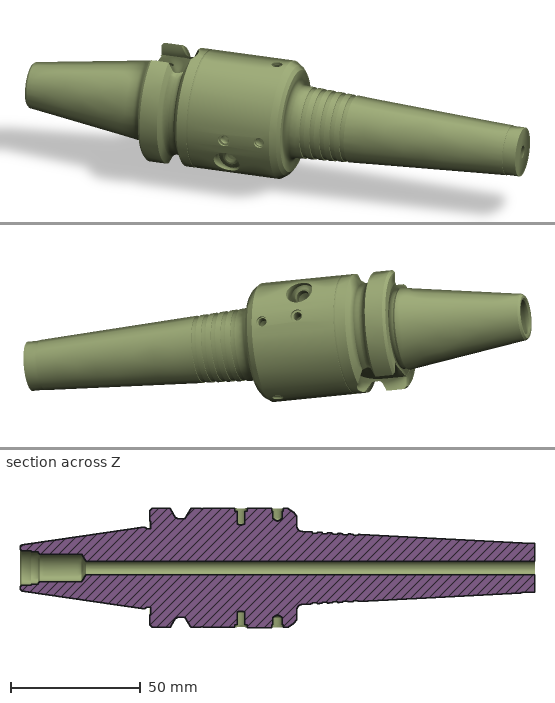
import cadquery as cq
import math


length = 198.4
gauge_x = 48.0
flange_x = 50.0
body_end_x = 106.7
tip_x = 193.2

gauge_r = 15.9
taper_slope = 7 / 48
shank_chamfer = 0.8
shank_chamfer_depth = 0.5
relief_r = 15.3
relief_run = 0.8

body_r = 23.0
mark_groove_start_x = 69.8
mark_groove_end_x = 70.5
mark_groove_depth = 0.2
face_recess_r = 17.9
face_recess_depth = 0.4
flange_chamfer = 1.0
v_start_x = 58.0
v_floor_start_x = 60.1
v_floor_end_x = 63.5
v_end_x = 65.9
v_floor_r = 19.0
v_fillet = 2.0
shoulder_chamfer_x = 103.2
shoulder_bevel_x = 105.5
shoulder_bevel_r = 21.5
shoulder_face_r = 19.8

taper_end_r = 9.7
tip_r = 9.5
nose_angle = 3.0
root_fillet = 2.0
ring_count = 5
ring_width = 1.8
ring_pitch = 4.0
ring_depth = 0.4
first_ring_x = 113.5

through_d = 5.0
mouth_d = 14.7
mouth_depth = 0.5
recess_d = 13.0
recess_depth = 4.4
counterbore_d = 12.3
counterbore_depth = 7.0
thread_d = 12.0
thread_core_d = 10.3
thread_depth = 23.8
drill_half_angle = 59.0

slot_width = 16.0
slot_end_x = 67.3
slot_floor_z = 16.5
slot_hole_x = 55.4

overcut = 2.0

balance_x = 99.2
balance_hole_d = 4.2
balance_core_d = 3.4
slot_hole_d = 4.0
slot_core_d = 2.4
small_hole_depth = 4.0
entry_depth = 1.0
pin_hole_d = 5.0
pin_core_d = 3.4
pin_hole_z = -1.0
pin_hole_depth = 6.0
screw_x = 85.1
screw_z = -12.0
screw_hole_d = 10.3
screw_seat_depth = 10.0
screw_tip_d = 6.3
screw_tip_height = 1.2
socket_d = 5.0
socket_depth = 3.0


def nose_radius(x):
    return taper_end_r + (tip_x - x) * math.tan(math.radians(nose_angle))


def drill_tip(radius):
    return radius / math.tan(math.radians(drill_half_angle))


def turned_body():
    small_end_r = gauge_r - gauge_x * taper_slope
    root_x = body_end_x + root_fillet
    root_r = nose_radius(root_x)
    mark_groove_r = body_r - mark_groove_depth
    recess_x = flange_x + face_recess_depth
    diagonal = root_fillet * (1 - math.sqrt(0.5))
    profile = (
        cq.Workplane("XY")
        .moveTo(0, 0)
        .lineTo(0, small_end_r - shank_chamfer_depth)
        .lineTo(shank_chamfer, small_end_r + shank_chamfer * taper_slope)
        .lineTo(gauge_x, gauge_r)
        .lineTo(gauge_x + relief_run, relief_r)
        .lineTo(recess_x, relief_r)
        .lineTo(recess_x, face_recess_r)
        .lineTo(flange_x, face_recess_r)
        .lineTo(flange_x, body_r - flange_chamfer)
        .lineTo(flange_x + flange_chamfer, body_r)
        .lineTo(v_start_x, body_r)
        .lineTo(v_floor_start_x, v_floor_r)
        .lineTo(v_floor_end_x, v_floor_r)
        .lineTo(v_end_x, body_r)
        .lineTo(mark_groove_start_x, body_r)
        .lineTo(mark_groove_start_x, mark_groove_r)
        .lineTo(mark_groove_end_x, mark_groove_r)
        .lineTo(mark_groove_end_x, body_r)
        .lineTo(shoulder_chamfer_x, body_r)
        .lineTo(shoulder_bevel_x, shoulder_bevel_r)
        .lineTo(body_end_x, shoulder_face_r)
        .lineTo(body_end_x, root_r + root_fillet)
        .threePointArc((body_end_x + diagonal, root_r + diagonal), (root_x, root_r))
        .lineTo(tip_x, taper_end_r)
        .lineTo(tip_x, tip_r)
        .lineTo(length, tip_r)
        .lineTo(length, 0)
        .close()
    )
    body = profile.revolve(360, (0, 0, 0), (1, 0, 0))
    v_floor_edge = cq.selectors.NearestToPointSelector((v_floor_start_x, 0, 0))
    return body.edges(v_floor_edge).fillet(v_fillet)


def ring_groove(x):
    inner_r = nose_radius(x) - ring_depth
    return (
        cq.Workplane("YZ", origin=(x - ring_width / 2, 0, 0))
        .circle(body_r)
        .circle(inner_r)
        .extrude(ring_width)
    )


def axial_bore():
    core_r = thread_core_d / 2
    through_r = through_d / 2
    profile = (
        cq.Workplane("XY")
        .moveTo(0, 0)
        .lineTo(0, mouth_d / 2)
        .lineTo(mouth_depth, recess_d / 2)
        .lineTo(recess_depth, recess_d / 2)
        .lineTo(recess_depth, counterbore_d / 2)
        .lineTo(counterbore_depth, counterbore_d / 2)
        .lineTo(counterbore_depth, thread_d / 2)
        .lineTo(counterbore_depth + thread_d / 2 - core_r, core_r)
        .lineTo(thread_depth, core_r)
        .lineTo(thread_depth + drill_tip(core_r - through_r), through_r)
        .lineTo(length, through_r)
        .lineTo(length, 0)
        .close()
    )
    return profile.revolve(360, (0, 0, 0), (1, 0, 0))


def blind_hole(x, offset, top, entry_d, core_d, depth):
    """Stepped hole going down -Z from height top, with a conical end."""
    core_r = core_d / 2
    profile = (
        cq.Workplane("XZ", origin=(x, offset, 0))
        .moveTo(0, body_r + overcut)
        .lineTo(entry_d / 2, body_r + overcut)
        .lineTo(entry_d / 2, top - entry_depth)
        .lineTo(core_r, top - entry_depth)
        .lineTo(core_r, top - depth)
        .lineTo(0, top - depth - drill_tip(core_r))
        .close()
    )
    return profile.revolve(360, (0, 0, 0), (0, 1, 0))


def drive_slot():
    round_x = slot_end_x - slot_width / 2
    slot = (
        cq.Workplane("XY", origin=(0, 0, slot_floor_z))
        .moveTo(gauge_x, -slot_width / 2)
        .lineTo(round_x, -slot_width / 2)
        .threePointArc((slot_end_x, 0), (round_x, slot_width / 2))
        .lineTo(gauge_x, slot_width / 2)
        .close()
        .extrude(body_r)
    )
    hole = blind_hole(slot_hole_x, 0, slot_floor_z, slot_hole_d, slot_core_d, small_hole_depth)
    return slot.union(hole)


def clamp_screw_hole():
    """Hole along -Z whose floor is the cone end and socket of a set screw."""
    hole_r = screw_hole_d / 2
    seat = body_r - screw_seat_depth
    tip = seat + screw_tip_height
    socket_floor = tip - socket_depth
    profile = (
        cq.Workplane("XZ", origin=(screw_x, screw_z, 0))
        .moveTo(0, body_r)
        .lineTo(hole_r, body_r)
        .lineTo(hole_r, seat)
        .lineTo(screw_tip_d / 2, tip)
        .lineTo(socket_d / 2, tip)
        .lineTo(socket_d / 2, socket_floor)
        .lineTo(0, socket_floor - drill_tip(socket_d / 2))
        .close()
    )
    return profile.revolve(360, (0, 0, 0), (0, 1, 0))


def turned(tool, angle):
    return tool.rotate((0, 0, 0), (1, 0, 0), angle)


result = turned_body().cut(axial_bore())

for index in range(ring_count):
    result = result.cut(ring_groove(first_ring_x + index * ring_pitch))

for angle in (0, 180):
    result = result.cut(turned(drive_slot(), angle))

balance_hole = blind_hole(balance_x, 0, body_r, balance_hole_d, balance_core_d, small_hole_depth)
for angle in (0, 90, 180, 270):
    result = result.cut(turned(balance_hole, angle))

pin_hole = blind_hole(screw_x, pin_hole_z, body_r, pin_hole_d, pin_core_d, pin_hole_depth)
for angle in (90, 270):
    result = result.cut(turned(clamp_screw_hole(), angle))
    result = result.cut(turned(pin_hole, angle))